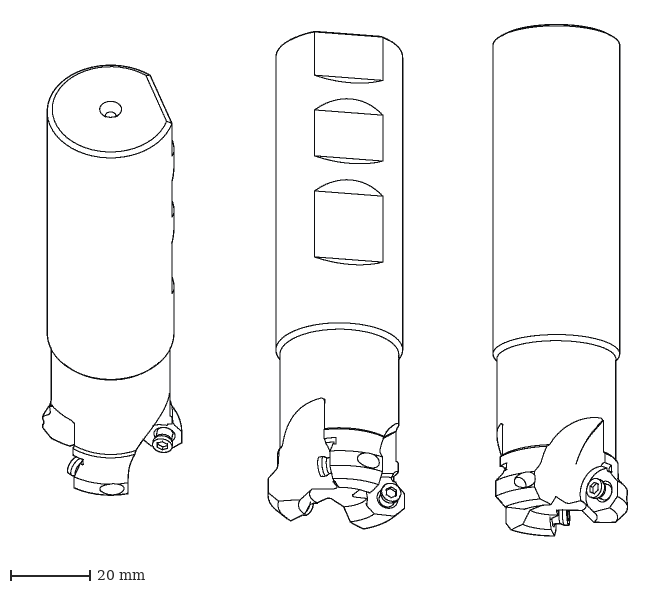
import cadquery as cq
import math

overall_length = 125.77
shank_radius = 16.0
neck_radius = 15.0
shank_bottom = 43.2
shank_bottom_chamfer = 1.3
top_chamfer_radial = 1.3
top_chamfer_axial = 0.8

flat_offset = 13.4
flat_ramp = shank_radius - flat_offset
flat_spans = [(62.2, 80.6), (90.4, 103.2), (112.9, overall_length)]

centre_mouth_radius = 2.75
centre_drill_radius = 1.35
centre_cone_half_angle = 30.0
centre_drill_length = 4.0
drill_point_half_angle = 59.0

head_radius = 17.96
collar_radius = 15.6
collar_top = 14.4
collar_chamfer = collar_radius - neck_radius
flare_top = 10.4
flare_fillet = 3.0
flare_angle = 40.0
head_top = 6.6
head_chamfer_height = 2.5
head_chamfer_radial = 2.5
recess_depth = 3.0
recess_mouth_radius = 10.3
recess_floor_radius = 7.5

tooth_angles = [-58.5, 63.0, 184.4]
wall_offset = -0.7
gullet_floor = 3.1
gullet_arc_radius = 18.5
gullet_arc_start = 6.0
gullet_tilt = 15.0
gullet_step = 3.0
outer_tilt = 8.0
gullet_corner_fillet = 1.0
cutter_reach = 40.0
end_clearance = 1.0

seat_offset = -2.9
seat_centre = 13.3
seat_height = 4.7
seat_radius = 6.0
corner_relief_radius = 0.9
corner_relief_depth = 0.8
corner_relief_place = (15.2, 10.5)
screw_shank_radius = 2.0
screw_head_radius = 2.5
screw_stand_out = 3.8
screw_head_rim = 1.1
screw_cone_height = 1.0
screw_thread_depth = 4.5
screw_socket_across = 2.6
screw_socket_depth = 1.0
screw_countersink_radius = 2.7


def body_of_revolution():
    """Shank, neck, collar and flared head before any cutting."""
    angle = math.radians(flare_angle)
    arc_mid_out = flare_fillet * (1 - math.cos(angle / 2))
    arc_end_out = flare_fillet * (1 - math.cos(angle))
    arc_mid = (collar_radius + arc_mid_out, flare_top - flare_fillet * math.sin(angle / 2))
    arc_end = (collar_radius + arc_end_out, flare_top - flare_fillet * math.sin(angle))
    profile = (
        cq.Workplane("XZ")
        .moveTo(0, recess_depth)
        .lineTo(recess_floor_radius, recess_depth)
        .lineTo(recess_mouth_radius, 0)
        .lineTo(head_radius - head_chamfer_radial, 0)
        .lineTo(head_radius, head_chamfer_height)
        .lineTo(head_radius, head_top)
        .lineTo(*arc_end)
        .threePointArc(arc_mid, (collar_radius, flare_top))
        .lineTo(collar_radius, collar_top - collar_chamfer)
        .lineTo(neck_radius, collar_top)
        .lineTo(neck_radius, shank_bottom - shank_bottom_chamfer)
        .lineTo(shank_radius, shank_bottom)
        .lineTo(shank_radius, overall_length - top_chamfer_axial)
        .lineTo(shank_radius - top_chamfer_radial, overall_length)
        .lineTo(0, overall_length)
        .close()
    )
    return profile.revolve(360, (0, 0, 0), (0, 1, 0))


def flat_cutter(bottom, top):
    """One stretch of the clamping flat, with 45 degree ramps up to the neighbouring lands."""
    return (
        cq.Workplane("YZ")
        .moveTo(flat_offset, bottom)
        .lineTo(flat_offset, top)
        .lineTo(shank_radius, top + flat_ramp)
        .lineTo(shank_radius, bottom - flat_ramp)
        .close()
        .extrude(shank_radius, both=True)
    )


def flat_end_chamfer_cutter():
    """Chamfer of the shank end continued along the edge of the flat."""
    return (
        cq.Workplane("YZ")
        .moveTo(flat_offset - top_chamfer_radial, overall_length)
        .lineTo(flat_offset, overall_length - top_chamfer_axial)
        .lineTo(shank_radius, overall_length - top_chamfer_axial)
        .lineTo(shank_radius, overall_length)
        .close()
        .extrude(shank_radius, both=True)
    )


def centre_hole_cutter():
    """Conical mouth and short drilled hole in the shank end."""
    mouth_step = centre_mouth_radius - centre_drill_radius
    cone_length = mouth_step / math.tan(math.radians(centre_cone_half_angle))
    drill_bottom = overall_length - cone_length - centre_drill_length
    point_length = centre_drill_radius / math.tan(math.radians(drill_point_half_angle))
    return (
        cq.Workplane("XZ")
        .moveTo(0, overall_length)
        .lineTo(centre_mouth_radius, overall_length)
        .lineTo(centre_drill_radius, overall_length - cone_length)
        .lineTo(centre_drill_radius, drill_bottom)
        .lineTo(0, drill_bottom - point_length)
        .close()
        .revolve(360, (0, 0, 0), (0, 1, 0))
    )


def gullet_floor_sweep(start, tilt, pivot_y):
    """Chip space above one floor: upright at the bottom, then arching out to +X.

    The floor runs straight along -Y and is then turned by the tilt about its foot at pivot_y.
    """
    arc_end_x = start + gullet_arc_radius
    arc_end_z = gullet_arc_start + gullet_arc_radius
    arc_mid_x = arc_end_x - gullet_arc_radius * math.cos(math.radians(45))
    arc_mid_z = gullet_arc_start + gullet_arc_radius * math.sin(math.radians(45))
    sweep = (
        cq.Workplane("XZ")
        .moveTo(start, -end_clearance)
        .lineTo(start, gullet_arc_start)
        .threePointArc((arc_mid_x, arc_mid_z), (arc_end_x, arc_end_z))
        .lineTo(cutter_reach, arc_end_z)
        .lineTo(cutter_reach, -end_clearance)
        .close()
        .extrude(cutter_reach, both=True)
    )
    return sweep.rotate((start, pivot_y, 0), (start, pivot_y, 1), tilt)


def gullet_cutter():
    """Chip space in front of a tooth: a flat wall, an inner floor and an outer floor beyond a crease."""
    wall_y = -wall_offset
    front_of_wall = (
        cq.Workplane("XY")
        .box(2 * cutter_reach, cutter_reach, 2 * cutter_reach, centered=(True, False, True))
        .translate((0, wall_y - cutter_reach, 0))
    )
    inner = gullet_floor_sweep(gullet_floor, gullet_tilt, wall_y).intersect(front_of_wall)
    floor_corner = inner.faces(">Y").edges("(not >X) and (not >Z) and (not <Z)")
    inner = floor_corner.fillet(gullet_corner_fillet)

    crease_y = wall_y - gullet_step / math.tan(math.radians(gullet_tilt))
    outer = gullet_floor_sweep(gullet_floor + gullet_step, outer_tilt, crease_y).intersect(front_of_wall)
    return inner.union(outer)


def seat_plane(offset):
    """Plane parallel to the insert seat, centred on the screw and facing out of the seat."""
    return cq.Workplane("XZ", origin=(seat_centre, -offset, seat_height))


def seat_cutter():
    """Insert recess, round inwards and open outwards, with a corner relief and the screw hole.

    The screw hole has a countersunk rim and runs out through the flank of the tooth.
    """
    recess = seat_plane(seat_offset).circle(seat_radius).extrude(cutter_reach / 2)
    recess_top = seat_height + seat_radius
    outward = (
        seat_plane(seat_offset)
        .center(0, -seat_height - end_clearance)
        .rect(head_radius, recess_top + end_clearance, centered=False)
        .extrude(cutter_reach / 2)
    )
    relief_x, relief_z = corner_relief_place
    relief = (
        seat_plane(seat_offset - corner_relief_depth)
        .center(relief_x - seat_centre, relief_z - seat_height)
        .circle(corner_relief_radius)
        .extrude(cutter_reach / 2)
    )
    hole = seat_plane(seat_offset).circle(screw_shank_radius).extrude(-cutter_reach / 2)
    rim_depth = screw_countersink_radius - screw_shank_radius
    countersink = cq.Workplane(
        cq.Solid.makeCone(
            screw_countersink_radius,
            screw_shank_radius,
            rim_depth,
            pnt=cq.Vector(seat_centre, -seat_offset, seat_height),
            dir=cq.Vector(0, 1, 0),
        )
    )
    return recess.union(outward).union(relief).union(hole).union(countersink)


def around_axis(shape, angle):
    """Turn a shape from the base tooth position to the tooth at this angle."""
    return shape.rotate((0, 0, 0), (0, 0, 1), angle)


def make_cutter_body():
    """Shank, neck and toothed head as one solid."""
    body = body_of_revolution()
    for bottom, top in flat_spans:
        body = body.cut(flat_cutter(bottom, top))
    body = body.cut(flat_end_chamfer_cutter())
    body = body.cut(centre_hole_cutter())
    for angle in tooth_angles:
        body = body.cut(around_axis(gullet_cutter(), angle))
    for angle in tooth_angles:
        body = body.cut(around_axis(seat_cutter(), angle))
    return body


def make_insert_screw():
    """Screw standing out of the seat: threaded shank, conical underhead and a head with a socket."""
    rim_start = screw_stand_out - screw_head_rim
    cone_start = rim_start - screw_cone_height
    profile = (
        cq.Workplane("XY")
        .moveTo(0, screw_thread_depth)
        .lineTo(screw_shank_radius, screw_thread_depth)
        .lineTo(screw_shank_radius, -cone_start)
        .lineTo(screw_head_radius, -rim_start)
        .lineTo(screw_head_radius, -screw_stand_out)
        .lineTo(0, -screw_stand_out)
        .close()
    )
    screw = profile.revolve(360, (0, 0, 0), (0, 1, 0)).translate((seat_centre, -seat_offset, seat_height))
    socket = (
        seat_plane(seat_offset + screw_stand_out)
        .polygon(6, screw_socket_across, circumscribed=True)
        .extrude(-screw_socket_depth)
    )
    return screw.cut(socket)


cutter_body = make_cutter_body()
insert_screws = [around_axis(make_insert_screw(), angle) for angle in tooth_angles]

result = cq.Compound.makeCompound([cutter_body.val(), *[screw.val() for screw in insert_screws]])